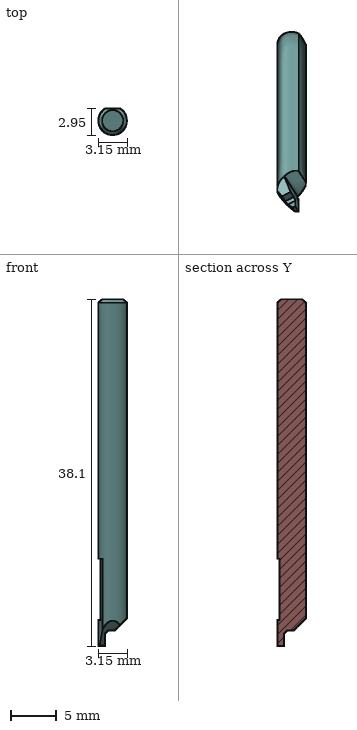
import cadquery as cq
import math

length = 38.1
shank_diameter = 3.15
radius = shank_diameter / 2
flat_offset = 2.95 - radius
end_chamfer_radial = 0.42
end_chamfer_axial = 0.4

relief_top = 9.6
relief_depth = 0.23
relief_half_width = 1.15

gash_bottom = 3.25
gash_angle = 42.0

tooth_height = 2.9
tooth_width = 0.75
tooth_relief_angle = 22.0
shoulder_height = 1.7
shoulder_chamfer = 0.35
shoulder_end_x = 0.23
primary_land = 0.4
primary_rise = 0.1
secondary_angle = 66.0

margin = 1.9
reach = radius + margin


def make_shank():
    """Round bar with a bevelled upper end and a full-length flat."""
    profile = [
        (0, 0),
        (radius, 0),
        (radius, length - end_chamfer_axial),
        (radius - end_chamfer_radial, length),
        (0, length),
    ]
    bar = cq.Workplane("XZ").polyline(profile).close().revolve(360, (0, 0), (0, 1))
    beyond_flat = (
        cq.Workplane("XY")
        .box(2 * reach, reach, length, centered=(True, False, False))
        .translate((0, flat_offset, 0))
    )
    return bar.cut(beyond_flat)


def make_side_relief():
    """Region outside the curved relief."""
    edge_x = -math.sqrt(radius**2 - relief_half_width**2)
    return (
        cq.Workplane("XY")
        .moveTo(edge_x, -relief_half_width)
        .threePointArc((relief_depth - radius, 0), (edge_x, relief_half_width))
        .lineTo(-reach, relief_half_width)
        .lineTo(-reach, -relief_half_width)
        .close()
        .extrude(relief_top)
    )


def make_tooth():
    """Wedge with its cutting edge at -X, falling away behind the rake face."""
    relief_slope = math.tan(math.radians(tooth_relief_angle))
    inner_x = relief_half_width * relief_slope - radius
    return (
        cq.Workplane("XY")
        .polyline([(-radius, 0), (inner_x, -relief_half_width), (0, -relief_half_width), (0, 0)])
        .close()
        .extrude(tooth_height)
    )


def make_gash():
    """Region in front of the rake face, with a sloping run-out."""
    run_out_top = gash_bottom + reach * math.tan(math.radians(gash_angle))
    return (
        cq.Workplane("YZ")
        .polyline([(0, -margin), (0, gash_bottom), (reach, run_out_top), (reach, -margin)])
        .close()
        .extrude(reach, both=True)
    )


def make_shoulder_clearance():
    """Region beside the tooth, leaving a shoulder and a 45 degree corner."""
    inner_x = tooth_width - radius
    outer_rise = reach - shoulder_end_x
    profile = [
        (inner_x, -margin),
        (inner_x, shoulder_height - shoulder_chamfer),
        (inner_x + shoulder_chamfer, shoulder_height),
        (shoulder_end_x, shoulder_height),
        (reach, shoulder_height + outer_rise),
        (reach, -margin),
    ]
    return cq.Workplane("XZ").polyline(profile).close().extrude(reach, both=True)


def make_end_clearance():
    """Region below the primary and secondary clearance faces."""
    secondary_rise = (reach - primary_land) * math.tan(math.radians(secondary_angle))
    profile = [
        (0, 0),
        (-primary_land, primary_rise),
        (-reach, primary_rise + secondary_rise),
        (-reach, -margin),
        (0, -margin),
    ]
    return cq.Workplane("YZ").polyline(profile).close().extrude(reach, both=True)


body = make_shank().cut(make_side_relief()).union(make_tooth())
result = body.cut(make_gash()).cut(make_shoulder_clearance()).cut(make_end_clearance())